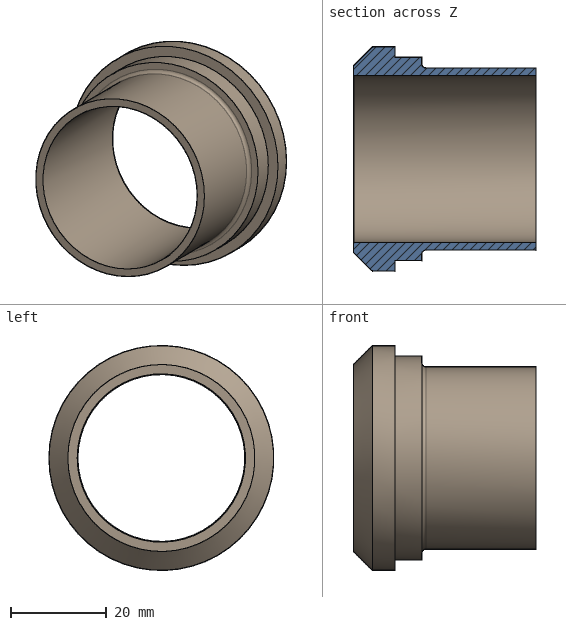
import cadquery as cq
import math

total_length = 38.1
bore_diameter = 34.8
tube_diameter = 38.1
collar_diameter = 42.57
flange_diameter = 46.94
nose_chamfer = 3.97
flange_end = 8.7
collar_end = 14.3
bore_edge_break = 0.15
root_fillet = 0.8

bore_radius = bore_diameter / 2
tube_radius = tube_diameter / 2
collar_radius = collar_diameter / 2
flange_radius = flange_diameter / 2


def half_section():
    """Closed wall profile in the XY plane, with Y as the radius."""
    fillet_end = collar_end + root_fillet
    fillet_top = tube_radius + root_fillet
    fillet_reach = root_fillet * (1 - math.sqrt(0.5))
    fillet_middle = (collar_end + fillet_reach, tube_radius + fillet_reach)
    return (
        cq.Workplane("XY")
        .moveTo(bore_edge_break, bore_radius)
        .lineTo(0, bore_radius + bore_edge_break)
        .lineTo(0, flange_radius - nose_chamfer)
        .lineTo(nose_chamfer, flange_radius)
        .lineTo(flange_end, flange_radius)
        .lineTo(flange_end, collar_radius)
        .lineTo(collar_end, collar_radius)
        .lineTo(collar_end, fillet_top)
        .threePointArc(fillet_middle, (fillet_end, tube_radius))
        .lineTo(total_length, tube_radius)
        .lineTo(total_length, bore_radius)
        .close()
    )


result = half_section().revolve(360, (0, 0, 0), (1, 0, 0))